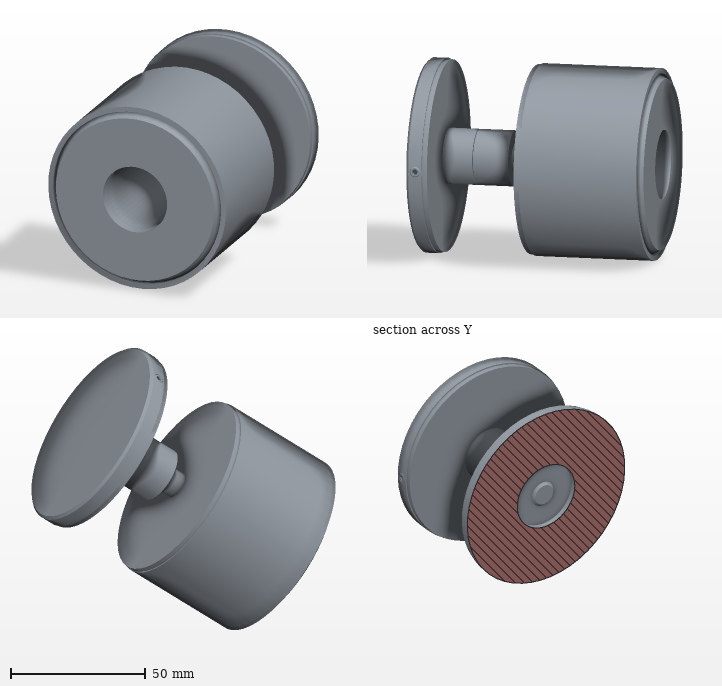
import cadquery as cq
import math


OVERALL_LENGTH = 90.0

ROSE_DIAMETER = 73.0
ROSE_THICKNESS = 6.0
ROSE_CHAMFER = 1.0
PLATE_DIAMETER = 72.0
PLATE_THICKNESS = 2.0

SCREW_DIAMETER = 4.0
SCREW_LENGTH = 6.0
SCREW_CHAMFER = 0.4
SOCKET_ACROSS_FLATS = 2.0
SOCKET_DEPTH = 2.0
SOCKET_TURN = 15

COLLAR_DIAMETER = 21.0
REAR_COLLAR_LENGTH = 11.3
FRONT_COLLAR_LENGTH = 13.5
COLLAR_GAP = 0.3

SPINDLE_DIAMETER = 10.0
SPINDLE_CHAMFER = 1.0

GRIP_DIAMETER = 72.0
GRIP_FRONT = 2.0
GRIP_LENGTH = 45.0
CAP_DIAMETER = 71.0
CAP_THICKNESS = 2.0
INSERT_DIAMETER = 68.0
INSERT_THICKNESS = 10.0
INSERT_TAPER_LENGTH = 4.0
INSERT_TAPER_INSET = 2.0
BORE_DIAMETER = 26.0

rose_front = OVERALL_LENGTH - ROSE_THICKNESS
plate_front = rose_front - PLATE_THICKNESS
rear_collar_front = plate_front - REAR_COLLAR_LENGTH
front_collar_back = rear_collar_front - COLLAR_GAP
front_collar_front = front_collar_back - FRONT_COLLAR_LENGTH
grip_back = GRIP_FRONT + GRIP_LENGTH
cap_back = grip_back + CAP_THICKNESS


def turned(profile):
    """Revolve a closed outline of (radius, y) points about the Y axis."""
    outline = [(y, radius) for radius, y in profile]
    return cq.Workplane("YZ").polyline(outline).close().revolve(360, (0, 0), (1, 0))


def ring(outer_diameter, inner_diameter, front, back):
    """Plain ring about the Y axis between two stations."""
    outer = outer_diameter / 2
    inner = inner_diameter / 2
    return turned([(inner, front), (outer, front), (outer, back), (inner, back)])


def screw_blank():
    """Plain rod for the set screw, running inward along X from the rose's -X rim."""
    middle = rose_front + (ROSE_THICKNESS - ROSE_CHAMFER) / 2
    rim = cq.Workplane("YZ", origin=(-ROSE_DIAMETER / 2, middle, 0))
    return rim.circle(SCREW_DIAMETER / 2).extrude(SCREW_LENGTH)


def make_screw():
    """Set screw flush with the rim, with a chamfered outer end and a hexagonal socket."""
    corner_diameter = SOCKET_ACROSS_FLATS / math.cos(math.pi / 6)
    return (
        screw_blank()
        .faces("<X")
        .chamfer(SCREW_CHAMFER)
        .faces("<X")
        .workplane(centerOption="CenterOfBoundBox")
        .transformed(rotate=(0, 0, SOCKET_TURN))
        .polygon(6, corner_diameter)
        .cutBlind(-SOCKET_DEPTH)
    )


def make_rose():
    """Disc with a chamfered back edge and a blind radial hole that fits the set screw."""
    radius = ROSE_DIAMETER / 2
    disc = turned([
        (0, rose_front),
        (radius, rose_front),
        (radius, OVERALL_LENGTH - ROSE_CHAMFER),
        (radius - ROSE_CHAMFER, OVERALL_LENGTH),
        (0, OVERALL_LENGTH),
    ])
    return disc.cut(screw_blank())


def make_plate():
    """Plain disc against the front of the rose."""
    return turned([
        (0, plate_front),
        (PLATE_DIAMETER / 2, plate_front),
        (PLATE_DIAMETER / 2, rose_front),
        (0, rose_front),
    ])


def make_spindle():
    """Rod from the knob to the plate; its chamfered tip stands out of the back cap into the bore."""
    radius = SPINDLE_DIAMETER / 2
    tip = grip_back - SPINDLE_CHAMFER
    return turned([
        (0, tip),
        (radius - SPINDLE_CHAMFER, tip),
        (radius, grip_back),
        (radius, plate_front),
        (0, plate_front),
    ])


def make_insert():
    """Thick washer, tapered at the front, that stands out of the grip's recess."""
    bore = BORE_DIAMETER / 2
    radius = INSERT_DIAMETER / 2
    return turned([
        (bore, 0),
        (radius - INSERT_TAPER_INSET, 0),
        (radius, INSERT_TAPER_LENGTH),
        (radius, INSERT_THICKNESS),
        (bore, INSERT_THICKNESS),
    ])


def make_grip():
    """Ring with a recess in its front for the insert and a bore right through."""
    outer = GRIP_DIAMETER / 2
    recess = INSERT_DIAMETER / 2
    bore = BORE_DIAMETER / 2
    return turned([
        (recess, GRIP_FRONT),
        (outer, GRIP_FRONT),
        (outer, grip_back),
        (bore, grip_back),
        (bore, INSERT_THICKNESS),
        (recess, INSERT_THICKNESS),
    ])


rose = make_rose()
screw = make_screw()
plate = make_plate()
rear_collar = ring(COLLAR_DIAMETER, SPINDLE_DIAMETER, rear_collar_front, plate_front)
front_collar = ring(COLLAR_DIAMETER, SPINDLE_DIAMETER, front_collar_front, front_collar_back)
spindle = make_spindle()
cap = ring(CAP_DIAMETER, SPINDLE_DIAMETER, grip_back, cap_back)
grip = make_grip()
insert = make_insert()

result = cq.Compound.makeCompound([
    rose.val(),
    screw.val(),
    plate.val(),
    rear_collar.val(),
    front_collar.val(),
    spindle.val(),
    cap.val(),
    grip.val(),
    insert.val(),
])